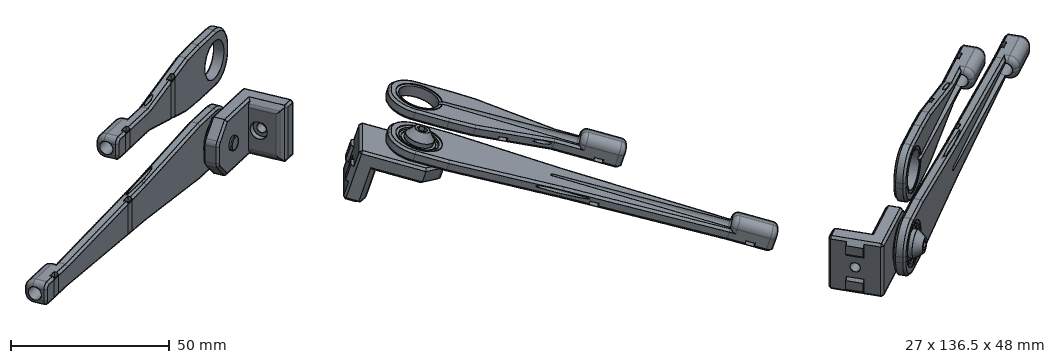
import cadquery as cq
import math


arm_thickness = 4.0
hub_width = 20.0
hub_half = hub_width / 2
hub_corner_radius = 9.0
edge_chamfer = 0.8
arm_spacing = 28.0

barrel_length = 15.0
barrel_width = 8.0
barrel_corner_radius = 3.3
barrel_end_radius = 2.0
barrel_half = barrel_width / 2
barrel_axis_x = arm_thickness - barrel_half
upper_tip_y = -67.5
lower_tip_y = -117.5

upper_taper = [(-hub_half, hub_half), (-18.7, 9.5), (-44.8, barrel_half)]
lower_taper = [(-hub_half, hub_half), (-47.6, 6.8), (lower_tip_y + barrel_length, barrel_half)]

bore_diameter = 4.6
groove_end_diameter = 1.2
upper_groove_end_y = 0.0
lower_groove_end_y = -44.1

slot_length = 3.0
slot_width = 1.5
slot_x = 3.0
barrel_slot_from_tip = 7.5
upper_slot_y = -28.5
lower_slot_y = -58.5
cord_hole_diameter = 1.2
cord_hole_x = 1.5
cord_hole_length = 13.6
upper_cord_hole_exit = (-40.4, 4.8)
lower_cord_hole_exit = (-46.5, 7.0)

hub_bore_diameter = 13.2
recess_diameter = 15.3
recess_depth = 0.3

bearing_inset = 0.8
bearing_diameter = 13.0
bearing_hole_diameter = 5.0
flange_diameter = 15.0
flange_thickness = 0.8
bearing_back_x = arm_thickness + flange_thickness
shield_outer_diameter = 11.5
shield_inner_diameter = 6.5
shield_depth = 0.3

boss_diameter = shield_inner_diameter
boss_height = 0.1
bracket_x = bearing_back_x + boss_height
bracket_width = 18.0
plate_thickness = 5.5
foot_depth = 7.1
bracket_back_y = 18.0
bracket_front_y = -hub_half
nose_chamfer = 6.0
nose_radius = 2.7
foot_chamfer = 2.0
foot_radius = 1.6
mount_hole_diameter = 3.4
mount_counterbore_diameter = 6.0
mount_counterbore_depth = 2.0
key_width = 5.7
key_height = 1.0
key_base_length = 5.2
key_z = hub_half - edge_chamfer - key_base_length / 2
mount_x = 14.0

screw_diameter = bearing_hole_diameter
screw_tip_diameter = 4.4
screw_protrusion = 1.0
head_diameter = 9.5
head_top_diameter = 5.0
head_top_x = -3.4
head_rim_x = -0.7
socket_corner_diameter = 3.4
socket_depth = 1.6


def x_cylinder(diameter, x_start, x_end, y=0.0, z=0.0):
    return (
        cq.Workplane("YZ", origin=(x_start, y, z)).circle(diameter / 2).extrude(x_end - x_start)
    )


def arm_plate(taper, tip_y):
    """Flat blade with a rounded hub and tapered sides, ending inside the barrel."""
    end_y = tip_y + barrel_length / 2
    upper_side = [(hub_half, hub_half), *taper, (end_y, barrel_half)]
    lower_side = [(y, -z) for y, z in reversed(upper_side)]
    plate = cq.Workplane("YZ").polyline(upper_side + lower_side).close().extrude(arm_thickness)
    plate = plate.faces(">Y").edges("|X").fillet(hub_corner_radius)
    return plate.faces("|X").edges().chamfer(edge_chamfer)


def barrel(tip_y):
    block = cq.Workplane("XY").box(barrel_width, barrel_length, barrel_width)
    block = block.edges("|Y and <X").fillet(barrel_corner_radius)
    block = block.faces("|Y").edges("not >X").fillet(barrel_end_radius)
    block = block.faces(">X").edges().chamfer(edge_chamfer)
    return block.translate((barrel_axis_x, tip_y + barrel_length / 2, 0))


def cord_groove(end_y, tip_y):
    """Bore of the barrel, continued by a cone that narrows to a ball end."""
    bore_radius = bore_diameter / 2
    end_radius = groove_end_diameter / 2
    ball_tip = (0, end_y + end_radius)
    profile = (
        cq.Workplane("XY")
        .moveTo(0, tip_y)
        .lineTo(bore_radius, tip_y)
        .lineTo(bore_radius, tip_y + barrel_length)
        .lineTo(end_radius, end_y)
        .threePointArc((end_radius * math.sqrt(0.5), end_y + end_radius * math.sqrt(0.5)), ball_tip)
        .close()
    )
    return profile.revolve(360, (0, 0, 0), (0, 1, 0)).translate((barrel_axis_x, 0, 0))


def edge_slot(y):
    return cq.Workplane("XY").box(slot_width, slot_length, hub_width).translate((slot_x, y, 0))


def cord_holes(exit_point):
    """Pair of blind holes along Y, mirrored in Z, that break out of the tapered edges."""
    exit_y, exit_z = exit_point
    start_y = exit_y - cord_hole_length
    return (
        cq.Workplane("XZ", origin=(cord_hole_x, start_y, 0))
        .pushPoints([(0, exit_z), (0, -exit_z)])
        .circle(cord_hole_diameter / 2)
        .extrude(-2 * cord_hole_length)
    )


def make_arm(taper, tip_y, groove_end_y, slot_y, cord_hole_exit):
    arm = arm_plate(taper, tip_y).union(barrel(tip_y))
    arm = arm.cut(cord_groove(groove_end_y, tip_y))
    arm = arm.cut(x_cylinder(hub_bore_diameter, 0, arm_thickness))
    arm = arm.cut(x_cylinder(recess_diameter, 0, recess_depth))
    for y in (slot_y, tip_y + barrel_slot_from_tip):
        arm = arm.cut(edge_slot(y))
    return arm.cut(cord_holes(cord_hole_exit))


def make_bearing():
    bearing = x_cylinder(bearing_diameter, bearing_inset, bearing_back_x)
    bearing = bearing.union(x_cylinder(flange_diameter, arm_thickness, bearing_back_x))
    bearing = bearing.cut(x_cylinder(bearing_hole_diameter, bearing_inset, bearing_back_x))
    for x_start in (bearing_inset, bearing_back_x - shield_depth):
        x_end = x_start + shield_depth
        shield = x_cylinder(shield_outer_diameter, x_start, x_end)
        bearing = bearing.cut(shield.cut(x_cylinder(shield_inner_diameter, x_start, x_end)))
    return bearing


def bracket_plate():
    """Upright plate that carries the pivot, with its front corners cut to a nose."""
    length = bracket_back_y - bracket_front_y
    plate = cq.Workplane("XY").box(plate_thickness, length, hub_width, centered=(False, False, True))
    plate = plate.edges("|X and <Y").chamfer(nose_chamfer)
    plate = plate.faces("<Y").edges("|X").fillet(nose_radius)
    plate = plate.faces("|X or >Y").edges().chamfer(edge_chamfer)
    return plate.translate((bracket_x, bracket_front_y, 0))


def bracket_foot():
    """Block across the back of the plate, with a sloped and rounded front face."""
    foot = cq.Workplane("XY").box(bracket_width, foot_depth, hub_width, centered=(False, False, True))
    foot = foot.faces("<Y").edges("not <X").chamfer(foot_chamfer)
    foot = foot.faces("<Y").edges("not <X").fillet(foot_radius)
    foot = foot.faces("<X or >X or >Y").edges("not <Y").chamfer(edge_chamfer)
    return foot.translate((bracket_x, bracket_back_y - foot_depth, 0))


def locating_key(z):
    """Wedge-ended key on the back face, level in X and sloped at both Z ends."""
    half_base = key_base_length / 2
    half_top = half_base - key_height
    return (
        cq.Workplane("YZ", origin=(mount_x - key_width / 2, bracket_back_y, z))
        .polyline([(0, -half_base), (key_height, -half_top), (key_height, half_top), (0, half_base)])
        .close()
        .extrude(key_width)
    )


def make_bracket():
    bracket = bracket_plate().union(bracket_foot())
    for z in (-key_z, key_z):
        bracket = bracket.union(locating_key(z))
    foot_front_y = bracket_back_y - foot_depth
    mount = cq.Workplane("XZ", origin=(mount_x, foot_front_y, 0))
    bracket = bracket.cut(mount.circle(mount_hole_diameter / 2).extrude(-foot_depth))
    bracket = bracket.cut(mount.circle(mount_counterbore_diameter / 2).extrude(-mount_counterbore_depth))
    bracket = bracket.union(x_cylinder(boss_diameter, bearing_back_x, bracket_x))
    return bracket.cut(x_cylinder(screw_diameter, bearing_back_x, bracket_x + plate_thickness))


def make_screw():
    """Conical-head screw turned about the pivot axis, with a hexagonal socket."""
    tip_x = bracket_x + plate_thickness + screw_protrusion
    tip_chamfer = (screw_diameter - screw_tip_diameter) / 2
    screw = (
        cq.Workplane("XY")
        .moveTo(head_top_x, 0)
        .lineTo(head_top_x, head_top_diameter / 2)
        .lineTo(head_rim_x, head_diameter / 2)
        .lineTo(bearing_inset, head_diameter / 2)
        .lineTo(bearing_inset, screw_diameter / 2)
        .lineTo(tip_x - tip_chamfer, screw_diameter / 2)
        .lineTo(tip_x, screw_tip_diameter / 2)
        .lineTo(tip_x, 0)
        .close()
        .revolve(360, (0, 0, 0), (1, 0, 0))
    )
    socket = (
        cq.Workplane("YZ", origin=(head_top_x, 0, 0))
        .polygon(6, socket_corner_diameter)
        .extrude(socket_depth)
    )
    return screw.cut(socket)


lower_arm = make_arm(lower_taper, lower_tip_y, lower_groove_end_y, lower_slot_y, lower_cord_hole_exit)
upper_arm = make_arm(upper_taper, upper_tip_y, upper_groove_end_y, upper_slot_y, upper_cord_hole_exit)
upper_arm = upper_arm.translate((0, 0, arm_spacing))
bearing = make_bearing()
bracket = make_bracket()
screw = make_screw()

result = cq.Compound.makeCompound(
    [lower_arm.val(), upper_arm.val(), bearing.val(), bracket.val(), screw.val()]
)